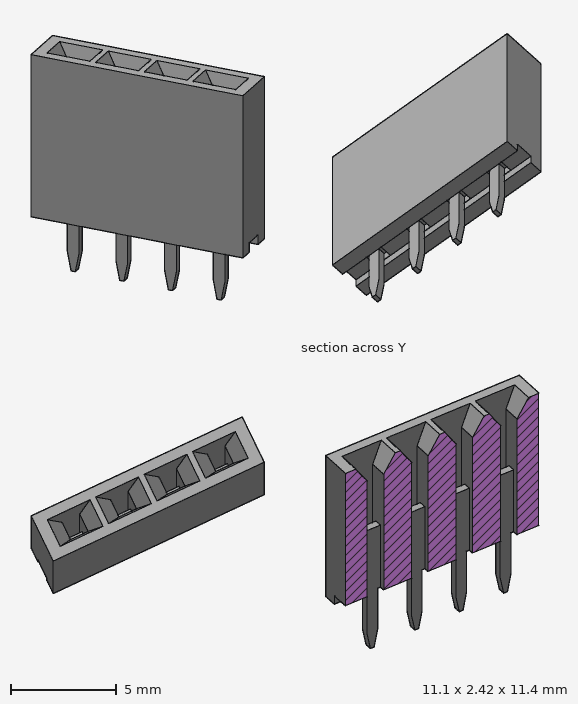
import cadquery as cq

housing_length = 11.07
housing_width = 2.42
housing_height = 8.45

contact_count = 4
pitch = 2.54
contact_positions = [(i - (contact_count - 1) / 2) * pitch for i in range(contact_count)]

channel_width = 0.95
channel_depth = 0.5

mouth_length = 2.24
mouth_width = 1.42
hole_size = 0.92
lead_in_depth = 1.0

total_height = 11.38
tail_length = total_height - housing_height
tail_width = 0.62
pin_thickness = 0.38
tip_width = 0.22
tip_length = 1.0
head_width = hole_size
head_top = housing_height / 2


def make_socket(x):
    """Cutter for one socket: the lead-in and the hole running down to the underside."""
    lead_in = (
        cq.Workplane("XY", origin=(x, 0, housing_height))
        .rect(mouth_length, mouth_width)
        .workplane(offset=-lead_in_depth)
        .rect(hole_size, hole_size)
        .loft(ruled=True)
    )
    hole_height = housing_height - lead_in_depth
    hole = cq.Workplane("XY", origin=(x, 0, 0)).rect(hole_size, hole_size).extrude(hole_height)
    return lead_in.union(hole)


def make_housing():
    """Block with the underside channel and one socket for each pin."""
    block = cq.Workplane("XY").box(
        housing_length, housing_width, housing_height, centered=(True, True, False)
    )
    channel = cq.Workplane("XY").box(
        housing_length, channel_width, channel_depth, centered=(True, True, False)
    )
    block = block.cut(channel)
    for x in contact_positions:
        block = block.cut(make_socket(x))
    return block


def make_pin(x):
    """Flat pin, outlined in XZ: the head sits in the hole and starts at the channel's ceiling."""
    right_side = [
        (tip_width / 2, -tail_length),
        (tail_width / 2, tip_length - tail_length),
        (tail_width / 2, channel_depth),
        (head_width / 2, channel_depth),
        (head_width / 2, head_top),
    ]
    left_side = [(-across, up) for across, up in reversed(right_side)]
    return (
        cq.Workplane("XZ", origin=(x, 0, 0))
        .polyline(right_side + left_side)
        .close()
        .extrude(pin_thickness / 2, both=True)
    )


housing = make_housing()
pins = [make_pin(x) for x in contact_positions]

result = cq.Compound.makeCompound([housing.val(), *[pin.val() for pin in pins]])